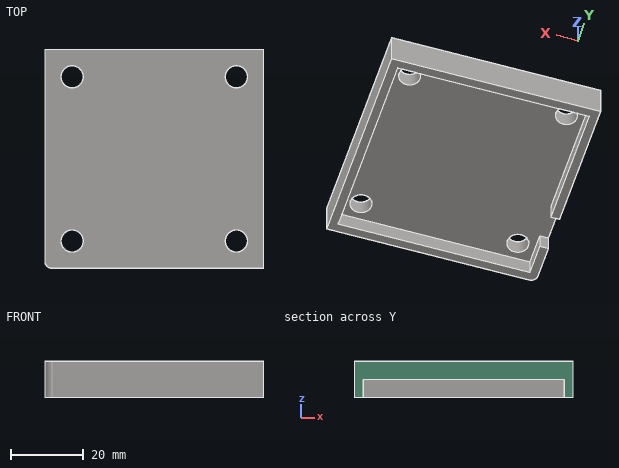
import cadquery as cq

side = 60.0
height = 10.0
corner_radius = 2.0

hole_diameter = 6.0
hole_spacing = 45.0

wall = 2.5
cavity_depth = 5.0

notch_width = 10.25
notch_offset = 11.7


def make_plate():
    """Square plate with its bottom at Z = 0 and one rounded vertical edge."""
    plate = cq.Workplane("XY").box(side, side, height, centered=(True, True, False))
    return plate.edges("|Z and <X and <Y").fillet(corner_radius)


def make_cavity():
    inner_side = side - 2 * wall
    return cq.Workplane("XY").rect(inner_side, inner_side).extrude(cavity_depth)


def make_notch():
    notch = cq.Workplane("XY").box(wall, notch_width, cavity_depth, centered=False)
    return notch.translate((-side / 2, -side / 2 + notch_offset, 0))


def make_holes():
    return (
        cq.Workplane("XY")
        .rect(hole_spacing, hole_spacing, forConstruction=True)
        .vertices()
        .circle(hole_diameter / 2)
        .extrude(height)
    )


result = make_plate().cut(make_cavity()).cut(make_notch()).cut(make_holes())